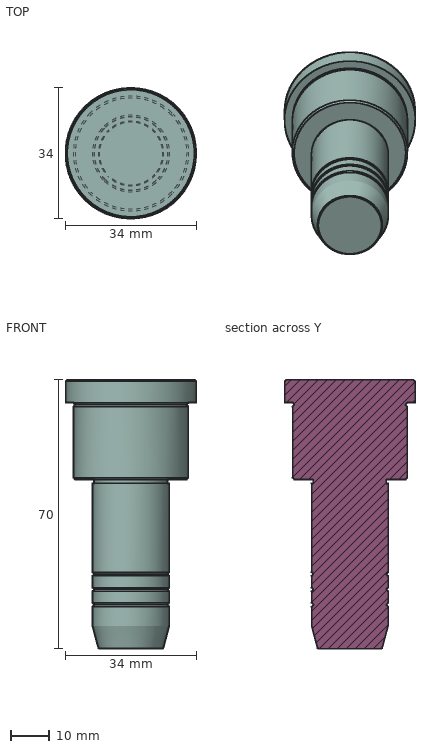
import cadquery as cq
import math

total_height = 70.0
flange_radius = 17.0
flange_height = 6.0
body_radius = 15.0
body_bottom_depth = 26.0
edge_chamfer = 0.5
shank_radius = 10.0
neck_radius = 9.6
neck_height = 1.0
tip_height = 6.0
tip_chamfer = 0.2
tip_angle = 15.0
groove_width = 1.0
groove_depth = 0.5
first_groove_depth = 50.05
groove_pitch = 4.0
groove_count = 3

flange_bottom = total_height - flange_height
body_bottom = total_height - body_bottom_depth
tip_radius = shank_radius - tip_height * math.tan(math.radians(tip_angle))


def cylinder(radius, bottom, top):
    return cq.Workplane("XY").workplane(offset=bottom).circle(radius).extrude(top - bottom)


def v_groove(radius, top):
    """Ring with a V section that cuts into a cylinder of the given radius."""
    section = [
        (radius, top),
        (radius - groove_depth, top - groove_width / 2),
        (radius, top - groove_width),
        (radius + groove_depth, top - groove_width),
        (radius + groove_depth, top),
    ]
    return cq.Workplane("XZ").polyline(section).close().revolve(360, (0, 0), (0, 1))


flange = cylinder(flange_radius, flange_bottom, total_height).faces(">Z").chamfer(edge_chamfer)

body = cylinder(body_radius, body_bottom, flange_bottom).faces("<Z").chamfer(edge_chamfer)
body = body.cut(v_groove(body_radius, flange_bottom))

neck = cylinder(neck_radius, body_bottom - neck_height, body_bottom)
shank = cylinder(shank_radius, tip_height, body_bottom - neck_height)
tip = (
    cq.Workplane("XZ")
    .polyline([(0, 0), (tip_radius, 0), (shank_radius, tip_height), (0, tip_height)])
    .close()
    .revolve(360, (0, 0), (0, 1))
    .faces("<Z")
    .chamfer(tip_chamfer)
)

for index in range(groove_count):
    groove_top = total_height - first_groove_depth - index * groove_pitch
    shank = shank.cut(v_groove(shank_radius, groove_top))

result = flange.union(body).union(neck).union(shank).union(tip)